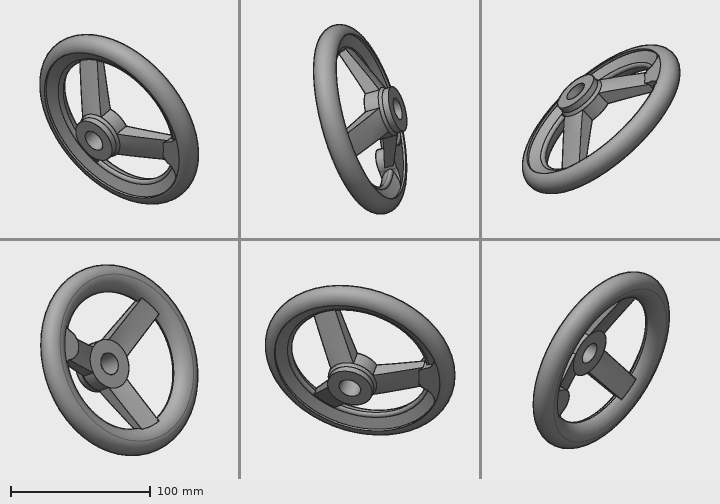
import cadquery as cq
import math

outer_radius = 70.0
rim_half_depth = 8.5
crest_radius = outer_radius - rim_half_depth
step_radius = 61.2
step_y = -6.7
cone_inner_radius = 53.0
cone_inner_y = -3.1
rim_inner_radius = 50.5
rim_inner_y = -0.4

bore_diameter = 16.0
collar_diameter = 33.0
collar_radius = collar_diameter / 2
hub_radius = 17.9
hub_front_y = -29.4
collar_back_y = -24.6
shoulder_y = -22.1
hub_back_y = -11.0

spoke_count = 3
spoke_root_radius = 12.6
spoke_end_radius = 54.6
spoke_root_width = 19.3
spoke_end_width = 18.2
spoke_front_slope = 0.56
spoke_back_slope = 0.43

boss_centre_x = 54.2
boss_radius = 11.2
boss_blend_radius = 11.2
boss_front_y = step_y
boss_back_y = 7.0


def revolve_about_y(profile):
    return profile.close().revolve(360, (0, 0, 0), (0, 1, 0))


def make_rim():
    profile = (
        cq.Workplane("XY")
        .moveTo(step_radius, -rim_half_depth)
        .lineTo(crest_radius, -rim_half_depth)
        .threePointArc((outer_radius, 0), (crest_radius, rim_half_depth))
        .tangentArcPoint((rim_inner_radius, rim_inner_y), relative=False)
        .tangentArcPoint((cone_inner_radius, cone_inner_y), relative=False)
        .lineTo(step_radius, step_y)
    )
    return revolve_about_y(profile)


def make_hub():
    profile = (
        cq.Workplane("XY")
        .moveTo(0, hub_front_y)
        .lineTo(collar_radius, hub_front_y)
        .lineTo(collar_radius, collar_back_y)
        .lineTo(hub_radius, shoulder_y)
        .lineTo(hub_radius, hub_back_y)
        .lineTo(0, hub_back_y)
    )
    return revolve_about_y(profile)


def make_spoke():
    """Spoke along +X with conical front and back, narrowing outwards."""
    def front_y(radius):
        return shoulder_y + spoke_front_slope * (radius - hub_radius)

    def back_y(radius):
        return hub_back_y + spoke_back_slope * (radius - hub_radius)

    cone_profile = (
        cq.Workplane("XY")
        .moveTo(spoke_root_radius, front_y(spoke_root_radius))
        .lineTo(spoke_end_radius, front_y(spoke_end_radius))
        .lineTo(spoke_end_radius, back_y(spoke_end_radius))
        .lineTo(spoke_root_radius, back_y(spoke_root_radius))
    )
    plan = (
        cq.Workplane("XZ")
        .moveTo(spoke_root_radius, -spoke_root_width / 2)
        .lineTo(spoke_end_radius, -spoke_end_width / 2)
        .lineTo(spoke_end_radius, spoke_end_width / 2)
        .lineTo(spoke_root_radius, spoke_root_width / 2)
        .close()
        .extrude(outer_radius, both=True)
    )
    return revolve_about_y(cone_profile).intersect(plan)


def make_handle_boss():
    """Round boss inside the rim on the +X side, blended into the rim by two concave arcs."""
    blend_orbit = step_radius - boss_blend_radius
    blend_distance = boss_radius + boss_blend_radius
    blend_x = (blend_orbit**2 + boss_centre_x**2 - blend_distance**2) / (2 * boss_centre_x)
    blend_z = math.sqrt(blend_orbit**2 - blend_x**2)

    boss_share = boss_radius / blend_distance
    boss_tangent_x = boss_centre_x + boss_share * (blend_x - boss_centre_x)
    boss_tangent_z = boss_share * blend_z
    rim_tangent_x = blend_x * step_radius / blend_orbit
    rim_tangent_z = blend_z * step_radius / blend_orbit

    start_angle = math.atan2(boss_tangent_z - blend_z, boss_tangent_x - blend_x)
    end_angle = math.atan2(rim_tangent_z - blend_z, rim_tangent_x - blend_x)
    middle_angle = (start_angle + end_angle) / 2
    middle_x = blend_x + boss_blend_radius * math.cos(middle_angle)
    middle_z = blend_z + boss_blend_radius * math.sin(middle_angle)

    return (
        cq.Workplane("XZ", origin=(0, boss_front_y, 0))
        .moveTo(rim_tangent_x, -rim_tangent_z)
        .threePointArc((step_radius, 0), (rim_tangent_x, rim_tangent_z))
        .threePointArc((middle_x, middle_z), (boss_tangent_x, boss_tangent_z))
        .threePointArc((boss_centre_x - boss_radius, 0), (boss_tangent_x, -boss_tangent_z))
        .threePointArc((middle_x, -middle_z), (rim_tangent_x, -rim_tangent_z))
        .close()
        .extrude(boss_front_y - boss_back_y)
    )


wheel = make_rim().union(make_hub())
for index in range(spoke_count):
    spoke = make_spoke().rotate((0, 0, 0), (0, 1, 0), index * 360 / spoke_count)
    wheel = wheel.union(spoke)
wheel = wheel.union(make_handle_boss())

bore = (
    cq.Workplane("XZ", origin=(0, hub_back_y, 0))
    .circle(bore_diameter / 2)
    .extrude(hub_back_y - hub_front_y)
)
result = wheel.cut(bore)